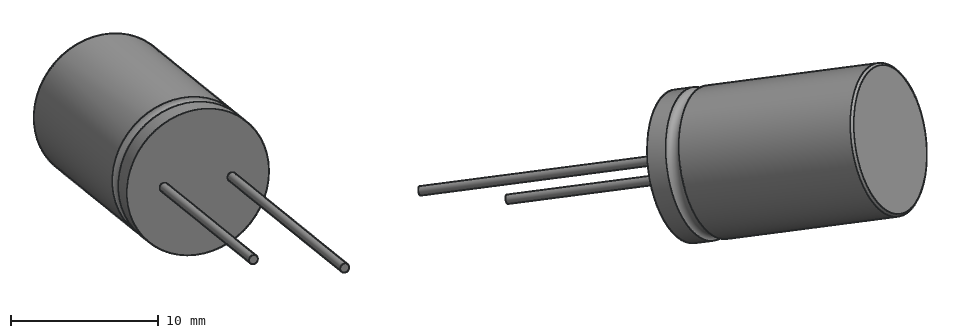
import cadquery as cq

total_length = 35.0
can_diameter = 10.5
can_length = 15.93
rim_chamfer = 0.18
groove_center = 13.97
groove_width = 1.0
groove_depth = 0.5
lead_diameter = 0.65
lead_pitch = 5.0
short_lead_length = 15.12

can_radius = can_diameter / 2
can_front = -total_length / 2
can_back = can_front + can_length
long_lead_length = total_length - can_length


def make_can():
    """Round can along X, with a softened closed end and a crimp groove."""
    groove_middle = can_front + groove_center
    groove_start = groove_middle - groove_width / 2
    groove_end = groove_middle + groove_width / 2
    groove_bottom = can_radius - groove_depth
    return (
        cq.Workplane("XY")
        .moveTo(can_front, 0)
        .lineTo(can_front, can_radius - rim_chamfer)
        .lineTo(can_front + rim_chamfer, can_radius)
        .lineTo(groove_start, can_radius)
        .threePointArc((groove_middle, groove_bottom), (groove_end, can_radius))
        .lineTo(can_back, can_radius)
        .lineTo(can_back, 0)
        .close()
        .revolve(360, (0, 0, 0), (1, 0, 0))
    )


def make_lead(y, length):
    """Straight round wire standing on the sealed end of the can."""
    return cq.Workplane("YZ", origin=(can_back, y, 0)).circle(lead_diameter / 2).extrude(length)


can = make_can()
leads = [
    make_lead(y, length).val()
    for y, length in ((lead_pitch / 2, long_lead_length), (-lead_pitch / 2, short_lead_length))
]

result = cq.Compound.makeCompound([can.val(), *leads])